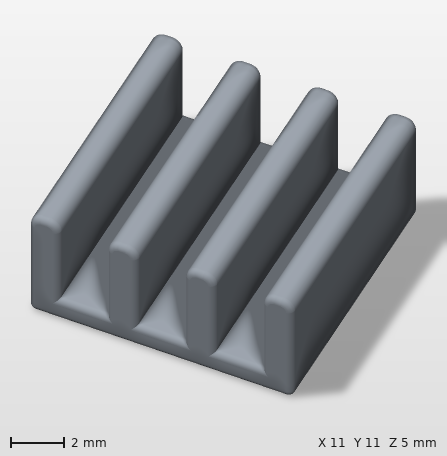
import cadquery as cq

length = 11.0
width = 11.0
height = 5.0
base_thickness = 1.0
fin_count = 4
fin_thickness = 1.25
fin_tip_radius = 0.5
edge_radius = 0.25

fin_pitch = (width - fin_thickness) / (fin_count - 1)
channel_width = fin_pitch - fin_thickness
channel_depth = height - base_thickness


def finned_block():
    """Block with open channels between evenly spaced fins."""
    block = cq.Workplane("XY").box(width, length, height, centered=(True, True, False))
    for index in range(fin_count - 1):
        channel_x = (index - (fin_count - 2) / 2) * fin_pitch
        channel = (
            cq.Workplane("XY", origin=(channel_x, 0, base_thickness))
            .box(channel_width, length, channel_depth, centered=(True, True, False))
        )
        block = block.cut(channel)
    return block


body = finned_block().faces(">Z").edges("|Y").fillet(fin_tip_radius)

result = body.faces("<Y or >Y or <Z").edges().fillet(edge_radius)